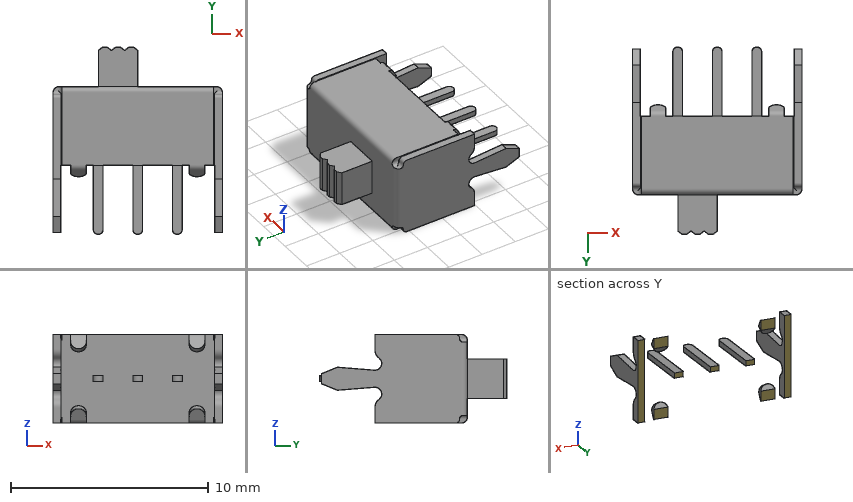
import cadquery as cq
import math


width = 8.6
height = 4.5
body_depth = 3.99
plate_thickness = 0.4
bend_radius = 0.3
seam_width = 0.06
seam_depth = 0.285
relief_radius = 0.2

plate_end = 4.69
notch_radius = 0.34
notch_corner_radius = 0.5
prong_root_half = 0.44
prong_wide_half = 0.59
prong_tip_half = 0.26
prong_wide_at = 6.59
prong_tip_at = 7.4

knob_size = 2.0
knob_length = 2.0
knob_x = -1.0
ridge_count = 3
ridge_depth = 0.17
ridge_flat = 0.23

pin_pitch = 2.0
pin_width = 0.5
pin_thickness = 0.3
pin_end = 7.5

tab_width = 0.8
tab_thickness = 0.32
tab_x = 3.0
tab_angle = math.radians(61)
tab_slope_length = 0.66

half_width = width / 2
half_height = height / 2
plate_inner = half_width - plate_thickness
seam_inner = plate_inner - seam_width
root_depth = body_depth / 2


def make_body():
    """Block with bent front edges."""
    block = cq.Workplane("XY").box(width, body_depth, height).translate((0, -body_depth / 2, 0))
    return block.faces(">Y").edges().fillet(bend_radius)


def make_corner_relief():
    """Cutter for the bend relief and seam at the +X, +Z corner."""
    r = relief_radius
    top = half_height
    diagonal = r * math.sqrt(0.5)
    cut_width = half_width - seam_inner
    side_cut = (
        cq.Workplane("YZ", origin=(seam_inner, 0, 0))
        .moveTo(0, top)
        .lineTo(-3 * r, top)
        .threePointArc((-3 * r + diagonal, top - r + diagonal), (-2 * r, top - r))
        .threePointArc((-r - diagonal, top - r - diagonal), (-r, top - 2 * r))
        .lineTo(0, top - 2 * r)
        .close()
        .extrude(cut_width)
    )
    rounded_cut = (
        cq.Workplane("XY")
        .box(cut_width, body_depth, 2 * r, centered=False)
        .edges("|Y and <X and <Z")
        .fillet(r)
        .translate((seam_inner, -body_depth, top - 2 * r))
    )
    seam = (
        cq.Workplane("XY")
        .box(seam_width, body_depth - plate_thickness, seam_depth, centered=False)
        .translate((seam_inner, -body_depth, top - seam_depth))
    )
    return side_cut.intersect(rounded_cut).union(seam)


def make_side_plate():
    """Rear part of the +X side plate with its prong."""
    notch_z = prong_root_half + notch_radius
    corner_reach = math.sqrt((notch_radius + notch_corner_radius) ** 2 - notch_corner_radius**2)
    corner_z = notch_z + corner_reach
    corner_y = -plate_end + notch_corner_radius
    share = notch_radius / (notch_radius + notch_corner_radius)
    meet = (-plate_end + share * notch_corner_radius, notch_z + share * corner_reach)
    corner_end_angle = math.atan2(notch_z - corner_z, -plate_end - corner_y) % (2 * math.pi)
    corner_mid_angle = (math.pi + corner_end_angle) / 2
    corner_mid = (
        corner_y + notch_corner_radius * math.cos(corner_mid_angle),
        corner_z + notch_corner_radius * math.sin(corner_mid_angle),
    )
    upper_half = (
        cq.Workplane("YZ", origin=(plate_inner, 0, 0))
        .moveTo(-root_depth, 0)
        .lineTo(-root_depth, half_height)
        .lineTo(-plate_end, half_height)
        .lineTo(-plate_end, corner_z)
        .threePointArc(corner_mid, meet)
        .threePointArc((-plate_end + notch_radius, notch_z), (-plate_end, prong_root_half))
        .lineTo(-prong_wide_at, prong_wide_half)
        .lineTo(-prong_tip_at, prong_tip_half)
        .lineTo(-prong_tip_at, 0)
        .close()
        .extrude(plate_thickness)
    )
    return upper_half.union(upper_half.mirror("XY"))


def make_knob():
    """Square knob whose free end carries a row of ridges."""
    pitch = knob_size / ridge_count
    left = knob_x - knob_size / 2
    valley_y = knob_length - ridge_depth
    outline = [(left + knob_size, -root_depth), (left, -root_depth), (left, valley_y)]
    for i in range(ridge_count):
        centre = left + (i + 0.5) * pitch
        outline.append((centre - ridge_flat / 2, knob_length))
        outline.append((centre + ridge_flat / 2, knob_length))
        outline.append((centre + pitch / 2, valley_y))
    return cq.Workplane("XY").polyline(outline).close().extrude(knob_size / 2, both=True)


def make_pin(x):
    """Flat contact pin with a rounded tip."""
    half = pin_width / 2
    tip_start = -pin_end + half
    return (
        cq.Workplane("XY")
        .moveTo(x - half, -root_depth)
        .lineTo(x - half, tip_start)
        .threePointArc((x, -pin_end), (x + half, tip_start))
        .lineTo(x + half, -root_depth)
        .close()
        .extrude(pin_thickness / 2, both=True)
    )


def make_tab():
    """Tab at +X, +Z: it bends down from the top face and slopes away behind the body."""
    sin_a = math.sin(tab_angle)
    cos_a = math.cos(tab_angle)
    bend_y = -body_depth - bend_radius * sin_a
    bend_z = half_height - bend_radius * (1 - cos_a)
    half_angle = tab_angle / 2
    bend_mid = (
        -body_depth - bend_radius * math.sin(half_angle),
        half_height - bend_radius * (1 - math.cos(half_angle)),
    )
    tip = (bend_y - tab_slope_length * cos_a, bend_z - tab_slope_length * sin_a)
    inner_tip = (tip[0] + tab_thickness * sin_a, tip[1] - tab_thickness * cos_a)
    inner_root = (bend_y + tab_thickness * sin_a, bend_z - tab_thickness * cos_a)
    strip = (
        cq.Workplane("YZ", origin=(tab_x, 0, 0))
        .moveTo(-body_depth, half_height)
        .threePointArc(bend_mid, (bend_y, bend_z))
        .lineTo(*tip)
        .lineTo(*inner_tip)
        .lineTo(*inner_root)
        .close()
        .extrude(tab_width / 2, both=True)
    )
    slope_plane = cq.Plane(
        origin=(tab_x, *tip),
        xDir=(1, 0, 0),
        normal=(0, -sin_a, cos_a),
    )
    radius = tab_width / 2
    reach = 3 * tab_width
    keep = (
        cq.Workplane(slope_plane)
        .moveTo(-radius, reach)
        .lineTo(-radius, radius)
        .threePointArc((0, 0), (radius, radius))
        .lineTo(radius, reach)
        .close()
        .extrude(tab_width, both=True)
    )
    return strip.intersect(keep)


def mirrored_to_four(shape):
    """The shape at +X, +Z with its copies at the other three corners."""
    pair = shape.union(shape.mirror("YZ"))
    return pair.union(pair.mirror("XY"))


side_plate = make_side_plate()

result = make_body().cut(mirrored_to_four(make_corner_relief()))
result = result.union(side_plate).union(side_plate.mirror("YZ"))
result = result.union(mirrored_to_four(make_tab()))
result = result.union(make_knob())
for pin_x in (-pin_pitch, 0, pin_pitch):
    result = result.union(make_pin(pin_x))
result = result.clean()